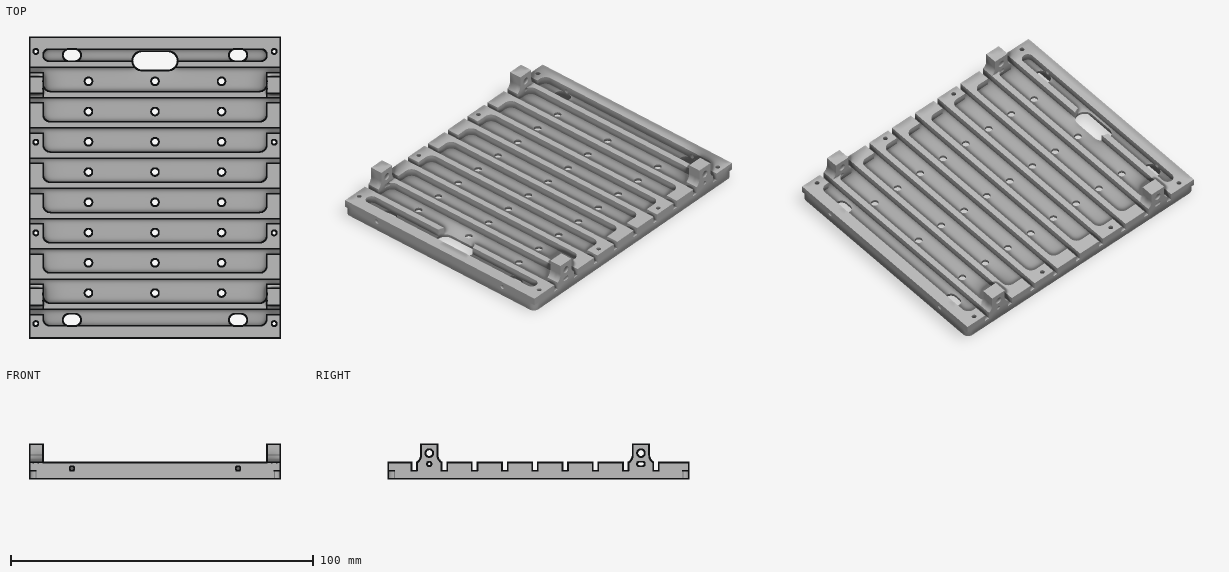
import cadquery as cq

WIDTH = 83.0
LENGTH = 99.5
PLATE_TOP = 5.5
FLOOR = 2.8
CORNER_RADIUS = 2.0
MARGIN = 4.5
GROOVE_STEPS = range(-4, 5)
GROOVE_SPAN = 80.0
PITCH = GROOVE_SPAN / (len(GROOVE_STEPS) - 1)
LAND_WIDTH = 8.3
GROOVE_WIDTH = PITCH - LAND_WIDTH
GROOVE_OFFSET = -0.25
RIDGE_WIDTH = 2.0
POCKET_RADIUS = 2.5
UNDERSIDE_DEPTH = 1.8

END_WALL = 4.0
POCKET_END_X = WIDTH / 2 - MARGIN
END_POCKET_Y = LENGTH / 2 - END_WALL
END_SLOT_WIDTH = 4.0
END_SLOT_Y = END_POCKET_Y - END_SLOT_WIDTH / 2
OVAL_X = 27.5
OVAL_LENGTH = 6.0
OPENING_LENGTH = 14.9
OPENING_WIDTH = 6.3
OPENING_Y = 41.9

POCKET_HOLE_DIAMETER = 2.5
POCKET_HOLE_X = 22.0
POCKET_HOLE_OFFSET = 5.4
EDGE_HOLE_DIAMETER = 1.6
EDGE_HOLE_X = 39.4
EDGE_HOLE_PITCH = 3 * PITCH
EDGE_HOLE_ROWS = (-1.5, -0.5, 0.5, 1.5)
WALL_HOLE_DIAMETER = 1.6
WALL_HOLE_Z = 3.5

LUG_TOP = 11.5
LUG_WIDTH = 5.5
LUG_FLARE_TOP = 8.0
FRONT_LUG_STEP = -4
REAR_LUG_STEP = 3
LUG_HOLE_DIAMETER = 2.5
LUG_HOLE_Z = 8.6
LUG_SLOT_Z = 5.0
LUG_SLOT_HEIGHT = 1.4
LUG_SLOT_LENGTH = 2.5


def block(x0, x1, y0, y1, z0, z1):
    return cq.Workplane("XY").box(x1 - x0, y1 - y0, z1 - z0, centered=False).translate((x0, y0, z0))


def plate():
    """The slab, with its vertical corners rounded only below the floor level."""
    lower = block(-WIDTH / 2, WIDTH / 2, -LENGTH / 2, LENGTH / 2, 0, FLOOR)
    lower = lower.edges("|Z").fillet(CORNER_RADIUS)
    upper = block(-WIDTH / 2, WIDTH / 2, -LENGTH / 2, LENGTH / 2, FLOOR, PLATE_TOP)
    return lower.union(upper)


def groove_wall_y(step):
    """Y of the groove's +Y wall."""
    return step * PITCH + GROOVE_OFFSET


def groove_cut(step):
    """A groove across the full width."""
    wall_y = groove_wall_y(step)
    return block(-WIDTH / 2, WIDTH / 2, wall_y - GROOVE_WIDTH, wall_y, FLOOR, PLATE_TOP)


def pocket_cut(step):
    """A pocket that opens into the groove behind it, rounded at its front corners."""
    back_y = groove_wall_y(step) - GROOVE_WIDTH / 2
    front_y = max(groove_wall_y(step - 1) + RIDGE_WIDTH, -END_POCKET_Y)
    pocket = block(-POCKET_END_X, POCKET_END_X, front_y, back_y, FLOOR, PLATE_TOP)
    return pocket.edges("|Z and <Y").fillet(POCKET_RADIUS)


def underside_recess():
    recess = block(-POCKET_END_X, POCKET_END_X, -END_POCKET_Y, END_POCKET_Y, 0, UNDERSIDE_DEPTH)
    return recess.edges("|Z").fillet(POCKET_RADIUS)


def slots(points, length, width, bottom):
    """Round-ended slots along X, cut upwards from the given level."""
    return cq.Workplane("XY", origin=(0, 0, bottom)).pushPoints(points).slot2D(length, width).extrude(LUG_TOP)


def holes(points, diameter):
    return cq.Workplane("XY").pushPoints(points).circle(diameter / 2).extrude(PLATE_TOP)


def wall_holes():
    """Cross holes through both end walls into the pocket and slot behind them."""
    points = [(-OVAL_X, WALL_HOLE_Z), (OVAL_X, WALL_HOLE_Z)]
    plane = cq.Workplane("XZ", origin=(0, -END_POCKET_Y, 0))
    front = plane.pushPoints(points).circle(WALL_HOLE_DIAMETER / 2).extrude(END_WALL)
    return front.union(front.mirror("XZ"))


def lug_plane(step):
    """The YZ plane on the -X side of the plate, centred on the lugs' land."""
    return cq.Workplane("YZ", origin=(-WIDTH / 2, groove_wall_y(step) + LAND_WIDTH / 2, 0))


def lug_pair(step):
    """Two flared lugs facing each other across the plate."""
    flare = (LAND_WIDTH - LUG_WIDTH) / 2
    drop = LUG_FLARE_TOP - PLATE_TOP
    radius = (flare ** 2 + drop ** 2) / (2 * flare)
    mid_drop = drop / 2
    mid_flare = radius - (radius ** 2 - mid_drop ** 2) ** 0.5
    top_half = LUG_WIDTH / 2
    base_half = LAND_WIDTH / 2
    mid_half = top_half + mid_flare
    mid_z = LUG_FLARE_TOP - mid_drop
    profile = (
        lug_plane(step)
        .moveTo(-base_half, FLOOR)
        .lineTo(-base_half, PLATE_TOP)
        .threePointArc((-mid_half, mid_z), (-top_half, LUG_FLARE_TOP))
        .lineTo(-top_half, LUG_TOP)
        .lineTo(top_half, LUG_TOP)
        .lineTo(top_half, LUG_FLARE_TOP)
        .threePointArc((mid_half, mid_z), (base_half, PLATE_TOP))
        .lineTo(base_half, FLOOR)
        .close()
    )
    lug = profile.extrude(MARGIN)
    return lug.union(lug.mirror("YZ"))


def lug_bores(step):
    """Upper holes through both lugs of a pair."""
    return lug_plane(step).center(0, LUG_HOLE_Z).circle(LUG_HOLE_DIAMETER / 2).extrude(WIDTH)


result = plate().cut(underside_recess())

for step in GROOVE_STEPS:
    result = result.cut(groove_cut(step)).cut(pocket_cut(step))

end_slot_length = 2 * POCKET_END_X
result = result.cut(slots([(0, END_SLOT_Y)], end_slot_length, END_SLOT_WIDTH, FLOOR))

oval_points = [(x, y) for x in (-OVAL_X, OVAL_X) for y in (-END_SLOT_Y, END_SLOT_Y)]
result = result.cut(slots(oval_points, OVAL_LENGTH, END_SLOT_WIDTH, 0))
result = result.cut(slots([(0, OPENING_Y)], OPENING_LENGTH, OPENING_WIDTH, 0))

pocket_hole_points = [
    (x, groove_wall_y(step) + POCKET_HOLE_OFFSET)
    for x in (-POCKET_HOLE_X, 0, POCKET_HOLE_X)
    for step in GROOVE_STEPS[:-1]
]
result = result.cut(holes(pocket_hole_points, POCKET_HOLE_DIAMETER))

edge_hole_points = [
    (x, row * EDGE_HOLE_PITCH)
    for x in (-EDGE_HOLE_X, EDGE_HOLE_X)
    for row in EDGE_HOLE_ROWS
]
result = result.cut(holes(edge_hole_points, EDGE_HOLE_DIAMETER))
result = result.cut(wall_holes())

for step in (FRONT_LUG_STEP, REAR_LUG_STEP):
    result = result.union(lug_pair(step)).cut(lug_bores(step))

front_lower = lug_plane(FRONT_LUG_STEP).center(0, LUG_SLOT_Z).circle(LUG_SLOT_HEIGHT / 2)
rear_lower = lug_plane(REAR_LUG_STEP).center(0, LUG_SLOT_Z).slot2D(LUG_SLOT_LENGTH, LUG_SLOT_HEIGHT)
result = result.cut(front_lower.extrude(WIDTH)).cut(rear_lower.extrude(WIDTH))